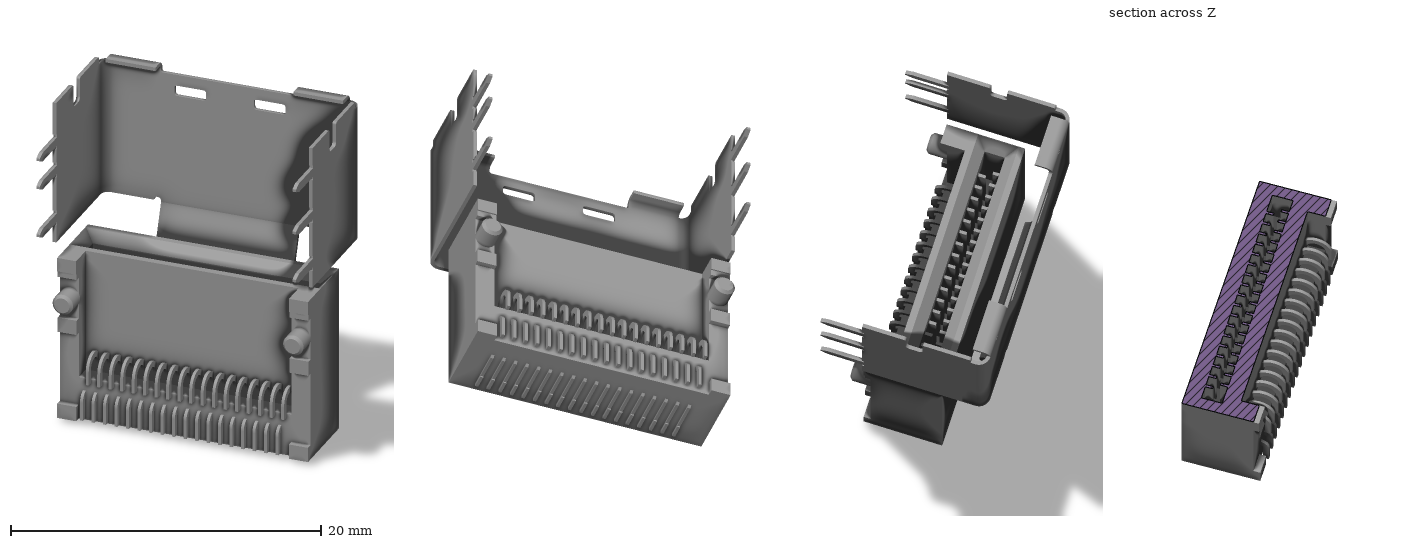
import cadquery as cq
import math


HOUSING_WIDTH = 17.43
HOUSING_DEPTH = 5.32
HOUSING_HEIGHT = 11.48
RAIL_WIDTH = 1.32
RAIL_FACE_Y = 0.45
RECESS_FACE_Y = 1.67
RECESS_BOTTOM_Z = 2.97

LOW_PAD_Y = 0.1
TOP_PAD_HEIGHT = 0.95
PADS = [
    (0, 1.03, 0),
    (6.14, 1.03, LOW_PAD_Y),
    (HOUSING_HEIGHT - 1.4, 1.4, LOW_PAD_Y),
    (HOUSING_HEIGHT - TOP_PAD_HEIGHT, TOP_PAD_HEIGHT, 0),
]

PEG_RADIUS = 0.7
PEG_X = HOUSING_WIDTH / 2 - PEG_RADIUS
PEG_Z = 8.6
PEG_REACH = 0.95
PEG_CHAMFER = 0.18

SLOT_WIDTH = 15.84
SLOT_FRONT_Y = 2.83
SLOT_THICKNESS = 1.37
SLOT_DEPTH = 6.85
MOUTH_WIDTH = 17.35
MOUTH_THICKNESS = 2.74
MOUTH_DEPTH = 0.7

CONTACTS_PER_ROW = 18
CONTACT_PITCH = 0.8
CONTACT_WIDTH = 0.2
ROW_SHIFT = CONTACT_PITCH / 4
LEG_FACE_Y = -0.1
LEG_THICKNESS = 0.39
UPPER_LEG_RADIUS = 1.03
LOWER_LEG_RADIUS = 0.65
LEG_DROP = 1.95
UPPER_LEG_TOP_Z = 4.7
LOWER_LEG_TOP_Z = 2.1
SPRING_THICKNESS = 0.5
SPRING_TIP_DEPTH = 1.7
TAIL_DEPTH = 0.25
TAIL_STEP_DEPTH = 0.15
TAIL_BACK_Y = 4.77
TAIL_STEP_Y = 3.8
TAIL_FRONT_Y = 1.8

SHEET = 0.25
SHIELD_WIDTH = 18.05
SHIELD_BACK_Y = 8.45
SHIELD_HEIGHT = 10.0
SHIELD_TOP_Z = 22.82 - TAIL_DEPTH
SHIELD_BOTTOM_Z = SHIELD_TOP_Z - SHIELD_HEIGHT
CORNER_RADIUS = 0.78

TAB_INNER_X = 4.8
TAB_OUTER_X = SHIELD_WIDTH / 2 - CORNER_RADIUS
TAB_BEND_RADIUS = 0.52
TAB_LENGTH = 1.2
MIDDLE_DROP = 0.75
MIDDLE_ROUND = 0.14
CORNER_RELIEF_DROP = 0.5
CORNER_RELIEF_LENGTH = 1.1
CORNER_RELIEF_ROUND = 0.11

WINDOW_X = 2.75
WINDOW_DROP = 1.9
WINDOW_LENGTH = 2.21
WINDOW_HEIGHT = 0.73
WINDOW_ROUND = 0.2

NOTCH_Y = 3.51
NOTCH_WIDTH = 1.15
NOTCH_DEPTH = 1.65
NOTCH_TOP_ROUND = 0.15
NOTCH_BOTTOM_ROUND = 0.27

LEFT_PIN_DROPS = [2.8, 4.82, 8.25]
RIGHT_PIN_DROPS = [1.78, 4.82, 8.25]
PIN_WIDTH = 0.62
PIN_REACH = 2.83
PIN_TAPER = 0.5
PIN_TIP_WIDTH = 0.18
PIN_RELIEF_WIDTH = 0.2
PIN_RELIEF_DEPTH = 0.11

TONGUE_WIDTH = 2 * TAB_INNER_X
TONGUE_RELIEF_RADIUS = 0.25
TONGUE_LINE = [
    (SHEET / 2, -0.23),
    (SHEET / 2, 0.1),
    (1.4, 3.55),
    (1.73, 3.9),
    (1.73, 4.22),
    (1.41, 4.7),
]


def box(x0, x1, y0, y1, z0, z1):
    """Box between two opposite corners."""
    return cq.Workplane("XY").box(x1 - x0, y1 - y0, z1 - z0, centered=False).translate((x0, y0, z0))


def side_profile(x_center, width):
    """Workplane whose sketch is (Y, Z), to be extruded by width, centred on x_center."""
    return cq.Workplane("YZ", origin=(x_center - width / 2, 0, 0))


def rails_and_pads(body):
    """Cut the board side down to the rails, leaving the pads, and open the central recess."""
    half = HOUSING_WIDTH / 2
    recess_half = half - RAIL_WIDTH
    body = body.cut(box(-half, half, 0, RAIL_FACE_Y, 0, HOUSING_HEIGHT))
    body = body.cut(box(-recess_half, recess_half, 0, RECESS_FACE_Y, RECESS_BOTTOM_Z, HOUSING_HEIGHT))
    for left in (-half, recess_half):
        for bottom, height, face_y in PADS:
            body = body.union(box(left, left + RAIL_WIDTH, face_y, RAIL_FACE_Y, bottom, bottom + height))
    return body


def pegs(body):
    """Add the two chamfered locating pegs."""
    for x in (-PEG_X, PEG_X):
        peg = (
            cq.Workplane("XZ", origin=(x, RAIL_FACE_Y, PEG_Z))
            .circle(PEG_RADIUS)
            .extrude(RAIL_FACE_Y + PEG_REACH)
            .faces("<Y")
            .chamfer(PEG_CHAMFER)
        )
        body = body.union(peg)
    return body


def card_slot(body):
    """Cut the card slot and flare its mouth."""
    slot_middle = (0, SLOT_FRONT_Y + SLOT_THICKNESS / 2)
    slot = (
        cq.Workplane("XY", origin=(*slot_middle, HOUSING_HEIGHT))
        .rect(SLOT_WIDTH, SLOT_THICKNESS)
        .extrude(-SLOT_DEPTH)
    )
    mouth = (
        cq.Workplane("XY", origin=(*slot_middle, HOUSING_HEIGHT - MOUTH_DEPTH))
        .rect(SLOT_WIDTH, SLOT_THICKNESS)
        .workplane(offset=MOUTH_DEPTH)
        .rect(MOUTH_WIDTH, MOUTH_THICKNESS)
        .loft(combine=True)
    )
    return body.cut(slot).cut(mouth)


def contact_leg(x, top_z, radius):
    """Leg that arches out of the housing in a half circle and runs down along the board."""
    inner_radius = radius - LEG_THICKNESS
    center_y = LEG_FACE_Y + radius
    center_z = top_z - radius
    end_z = top_z - LEG_DROP
    return (
        side_profile(x, CONTACT_WIDTH)
        .moveTo(center_y + radius, center_z)
        .threePointArc((center_y, top_z), (LEG_FACE_Y, center_z))
        .lineTo(LEG_FACE_Y, end_z)
        .lineTo(LEG_FACE_Y + LEG_THICKNESS, end_z)
        .lineTo(LEG_FACE_Y + LEG_THICKNESS, center_z)
        .threePointArc((center_y, top_z - LEG_THICKNESS), (center_y + inner_radius, center_z))
        .close()
        .extrude(CONTACT_WIDTH)
    )


def contact_spring(x, y0):
    """Straight contact finger standing on the slot floor against one slot wall."""
    floor_z = HOUSING_HEIGHT - SLOT_DEPTH
    tip_z = HOUSING_HEIGHT - SPRING_TIP_DEPTH
    half = CONTACT_WIDTH / 2
    return box(x - half, x + half, y0, y0 + SPRING_THICKNESS, floor_z, tip_z)


def contact_tail(x):
    """Stepped contact base standing out of the lower end of the housing."""
    outline = [
        (TAIL_BACK_Y, 0),
        (TAIL_BACK_Y, -TAIL_DEPTH),
        (TAIL_STEP_Y, -TAIL_DEPTH),
        (TAIL_STEP_Y, -TAIL_STEP_DEPTH),
        (TAIL_FRONT_Y + TAIL_STEP_DEPTH, -TAIL_STEP_DEPTH),
        (TAIL_FRONT_Y, 0),
    ]
    return side_profile(x, CONTACT_WIDTH).polyline(outline).close().extrude(CONTACT_WIDTH)


def contacts(body):
    """Add both contact rows, offset from each other by half a pitch."""
    pieces = []
    for i in range(CONTACTS_PER_ROW):
        row_x = (i - (CONTACTS_PER_ROW - 1) / 2) * CONTACT_PITCH
        upper_x = row_x + ROW_SHIFT
        lower_x = row_x - ROW_SHIFT
        pieces.append(contact_leg(upper_x, UPPER_LEG_TOP_Z, UPPER_LEG_RADIUS))
        pieces.append(contact_leg(lower_x, LOWER_LEG_TOP_Z, LOWER_LEG_RADIUS))
        pieces.append(contact_spring(upper_x, SLOT_FRONT_Y))
        pieces.append(contact_spring(lower_x, SLOT_FRONT_Y + SLOT_THICKNESS - SPRING_THICKNESS))
        pieces.append(contact_tail(lower_x))
    return cq.Workplane(body.val().fuse(*[piece.val() for piece in pieces]))


def make_housing():
    half = HOUSING_WIDTH / 2
    body = box(-half, half, 0, HOUSING_DEPTH, 0, HOUSING_HEIGHT)
    body = rails_and_pads(body)
    body = pegs(body)
    body = card_slot(body)
    return contacts(body)


def shield_channel():
    """U-shaped sheet: back plate, two rounded corners and two side walls."""
    half = SHIELD_WIDTH / 2
    outer = box(-half, half, 0, SHIELD_BACK_Y, SHIELD_BOTTOM_Z, SHIELD_TOP_Z)
    outer = outer.edges("|Z and >Y").fillet(CORNER_RADIUS)
    inner = box(SHEET - half, half - SHEET, 0, SHIELD_BACK_Y - SHEET, SHIELD_BOTTOM_Z, SHIELD_TOP_Z)
    inner = inner.edges("|Z and >Y").fillet(CORNER_RADIUS - SHEET)
    return outer.cut(inner)


def trim_top_edge(shield):
    """Lower the top edge of the back plate and corners, leaving the side walls full height."""
    half = SHIELD_WIDTH / 2
    relief_z = SHIELD_TOP_Z - CORNER_RELIEF_DROP
    relief_y = SHIELD_BACK_Y - CORNER_RELIEF_LENGTH
    shield = shield.cut(box(-half, half, relief_y, SHIELD_BACK_Y, relief_z, SHIELD_TOP_Z))
    shield = shield.edges(
        cq.selectors.BoxSelector(
            (-half - 0.23, relief_y - SHEET / 2, SHIELD_TOP_Z - SHEET / 2),
            (half + 0.23, relief_y + SHEET / 2, SHIELD_TOP_Z + SHEET / 2),
        )
    ).edges("|X").fillet(CORNER_RELIEF_ROUND)
    middle = box(
        -TAB_INNER_X, TAB_INNER_X,
        SHIELD_BACK_Y - SHEET, SHIELD_BACK_Y,
        SHIELD_TOP_Z - MIDDLE_DROP, SHIELD_TOP_Z,
    )
    return shield.cut(middle.edges("|Y and <Z").fillet(MIDDLE_ROUND))


def top_tabs(shield):
    """Add the two tabs bent inward from the top of the back plate."""
    width = TAB_OUTER_X - TAB_INNER_X
    root_z = SHIELD_TOP_Z - MIDDLE_DROP
    outer = box(
        0, width,
        SHIELD_BACK_Y - TAB_LENGTH, SHIELD_BACK_Y,
        root_z, SHIELD_TOP_Z,
    ).edges("|X and >Y and >Z").fillet(TAB_BEND_RADIUS)
    inner = box(
        0, width,
        SHIELD_BACK_Y - TAB_LENGTH, SHIELD_BACK_Y - SHEET,
        root_z, SHIELD_TOP_Z - SHEET,
    ).edges("|X and >Y and >Z").fillet(TAB_BEND_RADIUS - SHEET)
    tab = outer.cut(inner)
    for left in (-TAB_OUTER_X, TAB_INNER_X):
        shield = shield.union(tab.translate((left, 0, 0)))
    return shield


def windows(shield):
    """Cut the two rounded windows through the back plate."""
    cutter = (
        cq.Workplane("XZ", origin=(0, SHIELD_BACK_Y, SHIELD_TOP_Z - WINDOW_DROP))
        .pushPoints([(-WINDOW_X, 0), (WINDOW_X, 0)])
        .rect(WINDOW_LENGTH, WINDOW_HEIGHT)
        .extrude(SHEET)
        .edges("|Y")
        .fillet(WINDOW_ROUND)
    )
    return shield.cut(cutter)


def side_notches(shield):
    """Cut the rounded notch in the top of both side walls."""
    half = SHIELD_WIDTH / 2
    y0 = NOTCH_Y - NOTCH_WIDTH / 2
    y1 = NOTCH_Y + NOTCH_WIDTH / 2
    cutter = box(-half, half, y0, y1, SHIELD_TOP_Z - NOTCH_DEPTH, SHIELD_TOP_Z)
    shield = shield.cut(cutter.edges("|X and <Z").fillet(NOTCH_BOTTOM_ROUND))
    mouth_edges = cq.selectors.BoxSelector(
        (-half - 0.23, y0 - SHEET, SHIELD_TOP_Z - SHEET),
        (half + 0.23, y1 + SHEET, SHIELD_TOP_Z + SHEET),
    )
    return shield.edges(mouth_edges).edges("|X").fillet(NOTCH_TOP_ROUND)


def solder_pins(shield):
    """Add the tapered pins and the small relief cuts beside each of them."""
    wall_x = (SHIELD_WIDTH - SHEET) / 2
    for x, drops in ((-wall_x, LEFT_PIN_DROPS), (wall_x, RIGHT_PIN_DROPS)):
        for drop in drops:
            z = SHIELD_TOP_Z - drop
            relief_half = PIN_WIDTH / 2 + PIN_RELIEF_WIDTH
            relief = box(
                x - SHEET / 2, x + SHEET / 2, 0, PIN_RELIEF_DEPTH, z - relief_half, z + relief_half
            )
            pin_outline = [
                (PIN_RELIEF_DEPTH, z - PIN_WIDTH / 2),
                (PIN_TAPER - PIN_REACH, z - PIN_WIDTH / 2),
                (-PIN_REACH, z - PIN_TIP_WIDTH / 2),
                (-PIN_REACH, z + PIN_TIP_WIDTH / 2),
                (PIN_TAPER - PIN_REACH, z + PIN_WIDTH / 2),
                (PIN_RELIEF_DEPTH, z + PIN_WIDTH / 2),
            ]
            pin = side_profile(x, SHEET).polyline(pin_outline).close().extrude(SHEET)
            shield = shield.cut(relief).union(pin)
    return shield


def strip_outline(line, thickness):
    """Closed outline of a strip of even thickness along a bent centre line."""
    directions = []
    for (y0, z0), (y1, z1) in zip(line, line[1:]):
        directions.append(math.atan2(z1 - z0, y1 - y0))
    before = [directions[0]] + directions
    after = directions + [directions[-1]]
    near_side = []
    far_side = []
    for (y, z), turn_in, turn_out in zip(line, before, after):
        miter = (turn_in + turn_out) / 2
        reach = thickness / 2 / math.cos((turn_out - turn_in) / 2)
        dy = -math.sin(miter) * reach
        dz = math.cos(miter) * reach
        near_side.append((y + dy, z + dz))
        far_side.append((y - dy, z - dz))
    return near_side + far_side[::-1]


def spring_tongue(shield):
    """Add the spring tongue and the round relief cuts at its root."""
    center_line = [(SHIELD_BACK_Y - y, SHIELD_BOTTOM_Z - drop) for y, drop in TONGUE_LINE]
    tongue = (
        side_profile(0, TONGUE_WIDTH)
        .polyline(strip_outline(center_line, SHEET))
        .close()
        .extrude(TONGUE_WIDTH)
    )
    relief_x = TONGUE_WIDTH / 2 + TONGUE_RELIEF_RADIUS
    reliefs = (
        cq.Workplane("XZ", origin=(0, SHIELD_BACK_Y, SHIELD_BOTTOM_Z))
        .pushPoints([(-relief_x, 0), (relief_x, 0)])
        .circle(TONGUE_RELIEF_RADIUS)
        .extrude(SHEET)
    )
    return shield.cut(reliefs).union(tongue)


def make_shield():
    shield = shield_channel()
    shield = trim_top_edge(shield)
    shield = side_notches(shield)
    shield = top_tabs(shield)
    shield = windows(shield)
    shield = solder_pins(shield)
    return spring_tongue(shield)


housing = make_housing()
shield = make_shield()

result = cq.Compound.makeCompound([housing.val(), shield.val()])